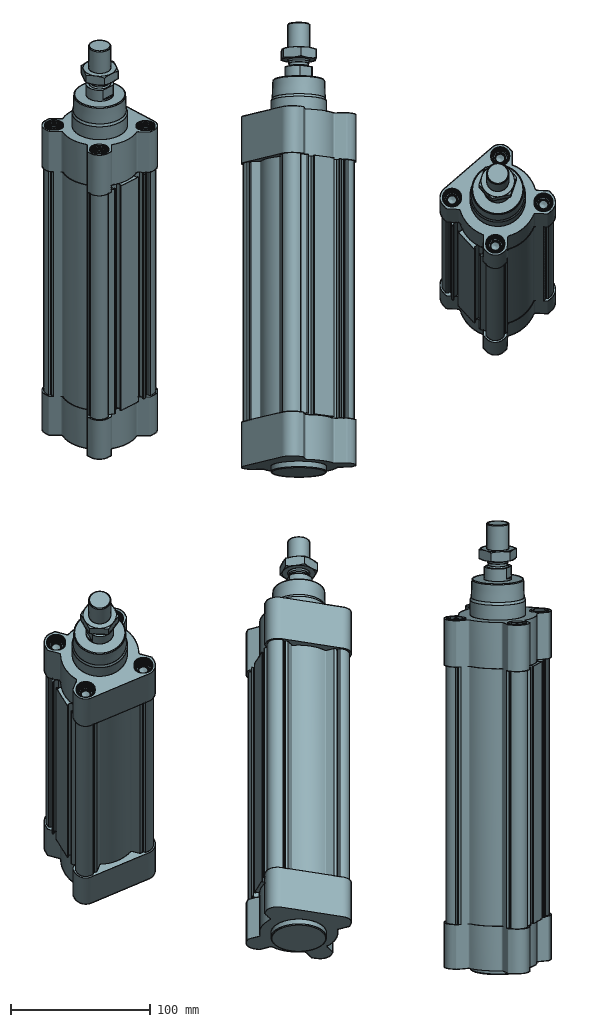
import cadquery as cq
import math


REAR_CAP_BOTTOM = 4.5
REAR_CAP_TOP = 37.5
FRONT_CAP_BOTTOM = 226.5
FRONT_CAP_TOP = 260.5
COLLAR_STEP = 271.5
COLLAR_TOP = 286.8
SHOULDER_TOP = 296.0
NUT_BOTTOM = 301.5
NUT_TOP = 309.0
ROD_TOP = 327.8

CAP_HALF_WIDTH = 64.0 / 2
SCREW_OFFSET = 23.3
CAP_BARREL_RADIUS = 28.2
CAP_BOSS_RADIUS = CAP_HALF_WIDTH - SCREW_OFFSET
FLANK_OFFSET = CAP_BOSS_RADIUS * math.sqrt(2)
FLANK_FILLET = 1.3

TUBE_HALF_WIDTH = 61.3 / 2
TUBE_BARREL_RADIUS = 28.0
TUBE_FILLET = 0.5
GROOVE_INNER = 19.5
GROOVE_OUTER = 20.3
GROOVE_DEPTH = 1.5
GROOVE_CHAMFER = 1.0
LAND_EDGE = 17.5
LAND_LEVEL = LAND_EDGE + FLANK_OFFSET

RAIL_EDGE = 9.0
LIP_EDGE = 14.0
LIP_TIP_WIDTH = 1.3
SLOT_NECK_DEPTH = 1.0
SLOT_UNDERCUT = 1.0
SLOT_DEPTH = 5.2

COLLAR_RADIUS = 40.0 / 2
NECK_BOTTOM_RADIUS = 38.5 / 2
NECK_TOP_RADIUS = 37.5 / 2
COLLAR_CONE_HEIGHT = 2.0
NECK_CHAMFER = 0.5
REAR_COLLAR_CHAMFER = 0.5

HOLE_DIAMETERS = [13.8, 13.0, 12.0, 11.5, 9.8, 8.0, 6.5]
HOLE_STEP_DEPTH = 1.0
DRILL_POINT_ANGLE = 118.0

ROD_RADIUS = 20.0 / 2
ROD_SOCKET_BOTTOM = FRONT_CAP_BOTTOM
THREAD_RADIUS = 16.0 / 2
THREAD_END_RADIUS = 14.8 / 2
THREAD_END_HEIGHT = 1.3
RELIEF_RADIUS = 13.8 / 2
RELIEF_TOP = 299.0
RELIEF_FOOT_RADIUS = 15.7 / 2
RELIEF_FOOT_HEIGHT = 1.0
ROD_TIP_INSET = 0.5
ROD_TIP_HEIGHT = 0.5
FLATS_ACROSS = 17.0
FLATS_BOTTOM = 288.0

NUT_ACROSS_FLATS = 24.0
NUT_CORNER_RADIUS = NUT_ACROSS_FLATS / 2 / math.cos(math.pi / 6)
NUT_CHAMFER_HEIGHT = 0.5


def prism(points, bottom, top):
    """Upright solid over a polygon."""
    return cq.Workplane("XY").workplane(offset=bottom).polyline(points).close().extrude(top - bottom)


def disc(radius, bottom, top):
    return cq.Workplane("XY").workplane(offset=bottom).circle(radius).extrude(top - bottom)


def turned(points):
    """Solid of revolution about Z from a (radius, height) outline."""
    return cq.Workplane("XZ").polyline(points).close().revolve(360, (0, 0, 0), (0, 1, 0))


def mirrored_four_ways(solid):
    """Copies of a solid in all four XY quadrants."""
    pair = [solid, solid.mirror("YZ")]
    return pair + [half.mirror("XZ") for half in pair]


def fillet_upright_edges(solid, x, y, radius):
    """Round the upright edges at (+-x, +-y) and (+-y, +-x)."""
    def selected(edge):
        center = edge.Center()
        place = sorted((abs(center.x), abs(center.y)))
        return math.dist(place, sorted((x, y))) < 0.03

    return solid.edges("|Z").filter(selected).fillet(radius)


def barrel_with_bosses(barrel_radius, half_width, root_fillet, bottom, top):
    """Round barrel with a flanked boss in each corner, filleted where the flanks meet the barrel."""
    flank_end = half_width - FLANK_OFFSET
    web = prism(
        [
            (half_width, flank_end), (half_width, SCREW_OFFSET), (SCREW_OFFSET, half_width),
            (flank_end, half_width), (0, FLANK_OFFSET), (FLANK_OFFSET, 0),
        ],
        bottom, top,
    )
    round_end = disc(half_width - SCREW_OFFSET, bottom, top).translate((SCREW_OFFSET, SCREW_OFFSET, 0))
    boss = web.union(round_end)
    body = disc(barrel_radius, bottom, top)
    for copy in mirrored_four_ways(boss):
        body = body.union(copy)
    root_x = (math.sqrt(2 * barrel_radius**2 - FLANK_OFFSET**2) - FLANK_OFFSET) / 2
    return fillet_upright_edges(body, root_x, root_x + FLANK_OFFSET, root_fillet)


def make_cap(bottom, top):
    """End cap, filled out to a flat face on its +Y side."""
    body = barrel_with_bosses(CAP_BARREL_RADIUS, CAP_HALF_WIDTH, FLANK_FILLET, bottom, top)
    body = fillet_upright_edges(body, CAP_HALF_WIDTH - FLANK_OFFSET, CAP_HALF_WIDTH, FLANK_FILLET)
    flat_side = prism(
        [
            (-SCREW_OFFSET, 0), (SCREW_OFFSET, 0),
            (SCREW_OFFSET, CAP_HALF_WIDTH), (-SCREW_OFFSET, CAP_HALF_WIDTH),
        ],
        bottom, top,
    )
    return body.union(flat_side)


def make_tube(bottom, top):
    """Extruded profile tube with sensor slots on its X sides and a groove beside each boss."""
    body = barrel_with_bosses(TUBE_BARREL_RADIUS, TUBE_HALF_WIDTH, TUBE_FILLET, bottom, top)

    groove_floor = LAND_LEVEL - GROOVE_DEPTH
    chamfer_end = GROOVE_OUTER + GROOVE_CHAMFER
    groove_edge = [
        (GROOVE_OUTER, groove_floor), (GROOVE_OUTER, TUBE_HALF_WIDTH - GROOVE_CHAMFER),
        (chamfer_end, TUBE_HALF_WIDTH), (chamfer_end, CAP_HALF_WIDTH), (0, CAP_HALF_WIDTH),
    ]
    land = [(0, LAND_LEVEL), (GROOVE_INNER, LAND_LEVEL), (GROOVE_INNER, groove_floor)]
    end_groove = prism(land + groove_edge, bottom, top)
    side_groove = prism([(0, groove_floor)] + groove_edge, bottom, top).mirror(cq.Vector(1, -1, 0))
    for groove in (end_groove, side_groove):
        for copy in mirrored_four_ways(groove):
            body = body.cut(copy)

    side_block = prism(
        [
            (0, 0), (TUBE_HALF_WIDTH, 0), (TUBE_HALF_WIDTH, LIP_EDGE + LIP_TIP_WIDTH),
            (groove_floor, GROOVE_INNER), (0, GROOVE_INNER),
        ],
        bottom, top,
    )
    for copy in mirrored_four_ways(side_block):
        body = body.union(copy)

    neck_floor = TUBE_HALF_WIDTH - SLOT_NECK_DEPTH
    slot_floor = TUBE_HALF_WIDTH - SLOT_DEPTH
    slot = prism(
        [
            (CAP_HALF_WIDTH, RAIL_EDGE), (neck_floor, RAIL_EDGE),
            (neck_floor, RAIL_EDGE - SLOT_UNDERCUT), (slot_floor, RAIL_EDGE - SLOT_UNDERCUT),
            (slot_floor, LIP_EDGE + SLOT_UNDERCUT), (neck_floor, LIP_EDGE + SLOT_UNDERCUT),
            (neck_floor, LIP_EDGE), (CAP_HALF_WIDTH, LIP_EDGE),
        ],
        bottom, top,
    )
    for copy in mirrored_four_ways(slot):
        body = body.cut(copy)
    return body


def make_rear_collar():
    return disc(COLLAR_RADIUS, 0, REAR_CAP_BOTTOM).faces("<Z").chamfer(REAR_COLLAR_CHAMFER)


def make_front_collar():
    return turned([
        (0, FRONT_CAP_TOP),
        (COLLAR_RADIUS, FRONT_CAP_TOP),
        (COLLAR_RADIUS, COLLAR_STEP),
        (NECK_BOTTOM_RADIUS, COLLAR_STEP + COLLAR_CONE_HEIGHT),
        (NECK_TOP_RADIUS, COLLAR_TOP - NECK_CHAMFER),
        (NECK_TOP_RADIUS - NECK_CHAMFER, COLLAR_TOP),
        (0, COLLAR_TOP),
    ])


def make_screw_hole():
    """Stepped blind hole with a drill point, its mouth at the top of the front cap."""
    outline = [(0, FRONT_CAP_TOP)]
    level = FRONT_CAP_TOP
    for diameter in HOLE_DIAMETERS:
        outline.append((diameter / 2, level))
        level -= HOLE_STEP_DEPTH
        outline.append((diameter / 2, level))
    point_depth = HOLE_DIAMETERS[-1] / 2 / math.tan(math.radians(DRILL_POINT_ANGLE / 2))
    outline.append((0, level - point_depth))
    return turned(outline)


def make_housing():
    body = make_cap(REAR_CAP_BOTTOM, REAR_CAP_TOP)
    body = body.union(make_tube(REAR_CAP_TOP, FRONT_CAP_BOTTOM))
    body = body.union(make_cap(FRONT_CAP_BOTTOM, FRONT_CAP_TOP))
    body = body.union(make_rear_collar()).union(make_front_collar())
    hole = make_screw_hole().translate((SCREW_OFFSET, SCREW_OFFSET, 0))
    for copy in mirrored_four_ways(hole):
        body = body.cut(copy)
    return body.cut(disc(ROD_RADIUS, ROD_SOCKET_BOTTOM, COLLAR_TOP))


def make_rod():
    """Piston rod with wrench flats, a thread relief and a plain cylinder for the thread."""
    body = turned([
        (0, ROD_SOCKET_BOTTOM),
        (ROD_RADIUS, ROD_SOCKET_BOTTOM),
        (ROD_RADIUS, SHOULDER_TOP),
        (RELIEF_FOOT_RADIUS, SHOULDER_TOP),
        (RELIEF_RADIUS, SHOULDER_TOP + RELIEF_FOOT_HEIGHT),
        (RELIEF_RADIUS, RELIEF_TOP),
        (THREAD_END_RADIUS, RELIEF_TOP),
        (THREAD_END_RADIUS, NUT_BOTTOM - THREAD_END_HEIGHT),
        (THREAD_RADIUS, NUT_BOTTOM),
        (THREAD_RADIUS, ROD_TOP - ROD_TIP_HEIGHT),
        (THREAD_RADIUS - ROD_TIP_INSET, ROD_TOP),
        (0, ROD_TOP),
    ])
    flat = FLATS_ACROSS / 2
    flat_cut = prism(
        [(flat, -ROD_RADIUS), (ROD_RADIUS, -ROD_RADIUS), (ROD_RADIUS, ROD_RADIUS), (flat, ROD_RADIUS)],
        FLATS_BOTTOM, SHOULDER_TOP,
    )
    return body.cut(flat_cut).cut(flat_cut.mirror("YZ"))


def make_nut():
    """Hexagon nut with flats facing +-X and its corners chamfered at both ends."""
    height = NUT_TOP - NUT_BOTTOM
    base = cq.Workplane("XY").workplane(offset=NUT_BOTTOM)
    hexagon = base.polygon(6, 2 * NUT_CORNER_RADIUS).extrude(height)
    hexagon = hexagon.rotate((0, 0, 0), (0, 0, 1), 30)
    face_radius = NUT_ACROSS_FLATS / 2
    envelope = turned([
        (THREAD_RADIUS, NUT_BOTTOM),
        (face_radius, NUT_BOTTOM),
        (NUT_CORNER_RADIUS, NUT_BOTTOM + NUT_CHAMFER_HEIGHT),
        (NUT_CORNER_RADIUS, NUT_TOP - NUT_CHAMFER_HEIGHT),
        (face_radius, NUT_TOP),
        (THREAD_RADIUS, NUT_TOP),
    ])
    return hexagon.intersect(envelope)


housing = make_housing()
rod = make_rod()
nut = make_nut()
result = cq.Compound.makeCompound([housing.val(), rod.val(), nut.val()])